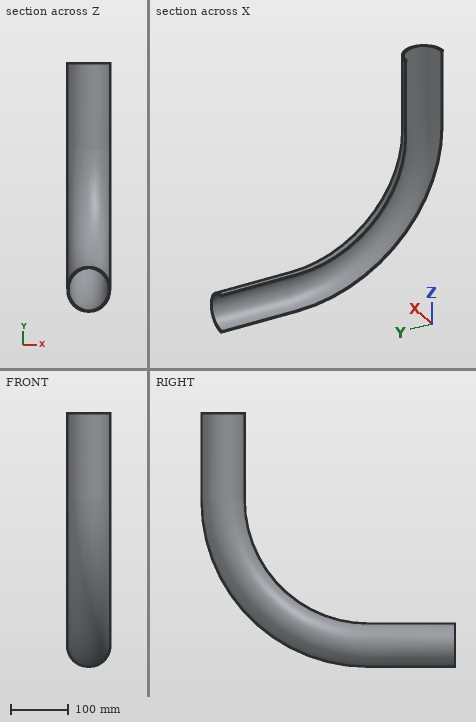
import cadquery as cq
import math

outer_diameter = 76.2
inner_diameter = 70.1
bend_radius = 254.0
straight_length = 152.4

leg_length = bend_radius + straight_length


def centreline():
    """Path down the vertical leg, round the bend and out along +Y."""
    arc_middle = bend_radius * (1 - math.sqrt(0.5))
    return (
        cq.Workplane("YZ")
        .moveTo(0, leg_length)
        .lineTo(0, bend_radius)
        .threePointArc((arc_middle, arc_middle), (bend_radius, 0))
        .lineTo(leg_length, 0)
    )


def bent_tube():
    """Sweep the ring-shaped tube section along the centreline."""
    section = (
        cq.Workplane("XY", origin=(0, 0, leg_length))
        .circle(outer_diameter / 2)
        .circle(inner_diameter / 2)
    )
    return section.sweep(centreline())


result = bent_tube()